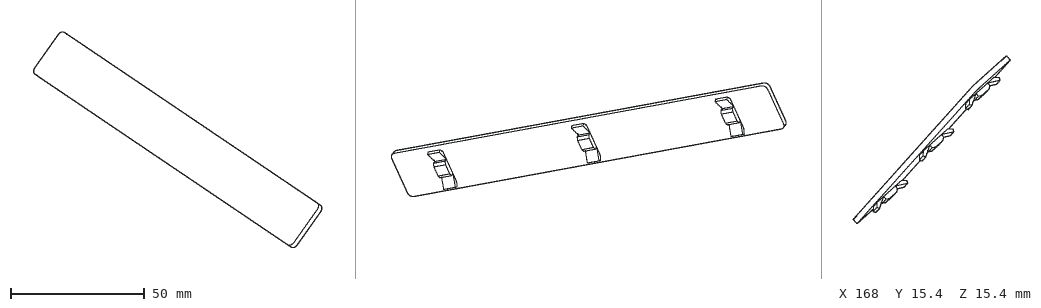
import cadquery as cq

plate_length = 168.0
plate_width = 19.2
plate_thickness = 2.2
corner_radius = 2.0
tilt_angle = 135.0

clip_length = 5.2
clip_spacing = 64.2
clip_overlap = 0.3

pad_half_width = 3.2
pad_flat_half_width = 2.0
pad_shoulder = 3.5
pad_back = 4.2

leg_root_inner = 3.2
leg_root_outer = 6.7
leg_inner_tip = (7.7, 4.5)
leg_outer_tip = (8.2, 3.5)

root_depth = plate_thickness - clip_overlap


def extrude_along_x(points, length, center_x):
    """Extrude a width-depth outline, centred on center_x."""
    return (
        cq.Workplane("YZ", origin=(center_x - length / 2, 0, 0))
        .polyline(points)
        .close()
        .extrude(length)
    )


def make_plate():
    return (
        cq.Workplane("XY")
        .box(plate_length, plate_width, plate_thickness, centered=(True, True, False))
        .edges("|Z")
        .fillet(corner_radius)
    )


def make_clip_pad(center_x):
    """Central pad of a clip, with bevelled shoulders."""
    outline = [
        (-pad_half_width, root_depth),
        (pad_half_width, root_depth),
        (pad_half_width, pad_shoulder),
        (pad_flat_half_width, pad_back),
        (-pad_flat_half_width, pad_back),
        (-pad_half_width, pad_shoulder),
    ]
    return extrude_along_x(outline, clip_length, center_x)


def make_clip_leg(center_x, side):
    """Splayed clip leg on one side of the pad."""
    outline = [
        (leg_root_inner, root_depth),
        (leg_root_inner, plate_thickness),
        leg_inner_tip,
        leg_outer_tip,
        (leg_root_outer, plate_thickness),
        (leg_root_outer, root_depth),
    ]
    mirrored = [(side * y, z) for y, z in outline]
    return extrude_along_x(mirrored, clip_length, center_x)


strip = make_plate()
for clip_x in (-clip_spacing, 0.0, clip_spacing):
    strip = strip.union(make_clip_pad(clip_x))
    for clip_side in (-1, 1):
        strip = strip.union(make_clip_leg(clip_x, clip_side))

tilted = strip.rotate((0, 0, 0), (1, 0, 0), -tilt_angle)
bounds = tilted.val().BoundingBox()
result = tilted.translate((0, -bounds.center.y, -bounds.center.z))